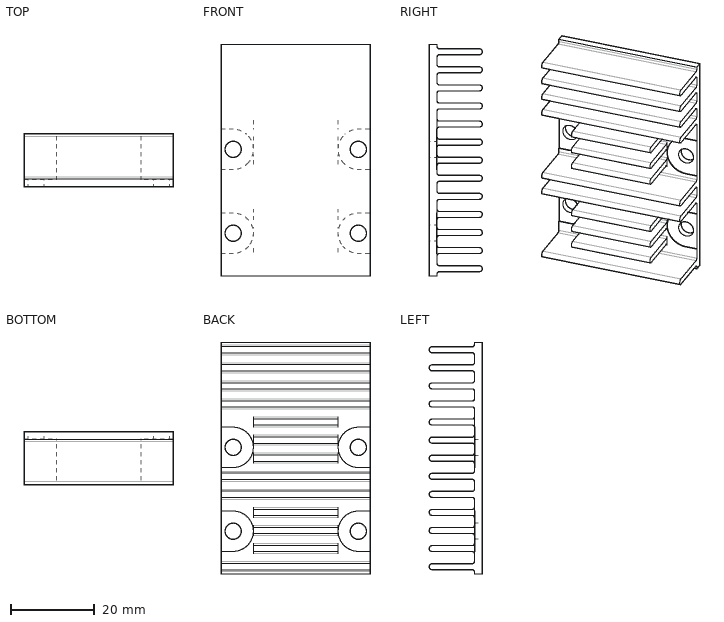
import cadquery as cq

width = 35.6
depth = 12.7
height = 55.25

base_thickness = 1.95

fin_count = 13
fin_pitch = 4.3
fin_thickness = 1.5
root_fillet = 0.45
fin_root_height = fin_thickness + 2 * root_fillet

hole_diameter = 3.8
hole_spacing_x = 29.85
hole_spacing_z = 20.0
upper_hole_z = 2.6
hole_levels = (upper_hole_z, upper_hole_z - hole_spacing_z)

hole_edge_distance = (width - hole_spacing_x) / 2
seat_radius = 4.8
seat_depth = 0.2
clearance_length = hole_edge_distance + seat_radius
fins_cut_short = ((4, 5, 6), (9, 10, 11))


def fin_z(index):
    """Mid-height of a fin, counted from the top."""
    return ((fin_count - 1) / 2 - index) * fin_pitch


def make_base():
    return cq.Workplane("XY").box(width, base_thickness, height, centered=(True, False, True))


def make_fin(index):
    """Fin profile in the YZ plane, extruded along the width."""
    half = fin_thickness / 2
    root_y = base_thickness + root_fillet
    tip_y = depth - half
    profile = (
        cq.Workplane("YZ", origin=(-width / 2, 0, fin_z(index)))
        .moveTo(base_thickness, -half - root_fillet)
        .radiusArc((root_y, -half), root_fillet)
        .lineTo(tip_y, -half)
        .threePointArc((depth, 0), (tip_y, half))
        .lineTo(root_y, half)
        .radiusArc((base_thickness, half + root_fillet), root_fillet)
        .lineTo(base_thickness / 2, half + root_fillet)
        .lineTo(base_thickness / 2, -half - root_fillet)
        .close()
    )
    return profile.extrude(width)


def make_fin_cut(side, z):
    """Block that removes one fin at the -X (side = -1) or +X (side = 1) end."""
    x_middle = side * (width - clearance_length) / 2
    return (
        cq.Workplane("XY")
        .box(clearance_length, depth, fin_root_height, centered=(True, False, True))
        .translate((x_middle, base_thickness, z))
    )


def make_seat(side, z):
    """U-shaped recess in the back of the base, round about the hole and open at the end face."""
    round_end = (
        cq.Workplane("XZ", origin=(side * hole_spacing_x / 2, base_thickness - seat_depth, z))
        .circle(seat_radius)
        .extrude(-seat_depth)
    )
    open_end = (
        cq.Workplane("XY")
        .box(hole_edge_distance, seat_depth, 2 * seat_radius)
        .translate((side * (width - hole_edge_distance) / 2, base_thickness - seat_depth / 2, z))
    )
    return round_end.union(open_end)


def make_hole(side, z):
    return (
        cq.Workplane("XZ", origin=(side * hole_spacing_x / 2, 0, z))
        .circle(hole_diameter / 2)
        .extrude(-depth)
    )


result = make_base()
for fin in range(fin_count):
    result = result.union(make_fin(fin))

for side in (-1, 1):
    for hole_z, short_fins in zip(hole_levels, fins_cut_short):
        for fin in short_fins:
            result = result.cut(make_fin_cut(side, fin_z(fin)))
        result = result.cut(make_seat(side, hole_z))
        result = result.cut(make_hole(side, hole_z))